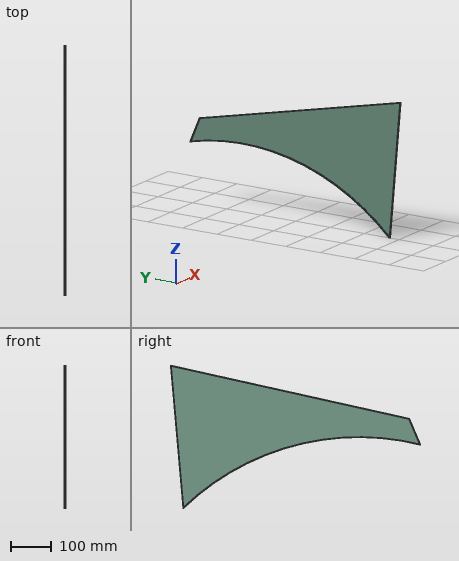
import cadquery as cq

thickness = 3.2
length = 609.5
height = 348.0

tip_bottom = (length, 155.0)
tip_top = (583.0, 218.0)
root_top = (0.0, height)
root_bottom = (30.5, 0.0)

arc_middle = (301.0, 152.5)

result = (
    cq.Workplane("YZ")
    .moveTo(*root_bottom)
    .lineTo(*root_top)
    .lineTo(*tip_top)
    .lineTo(*tip_bottom)
    .threePointArc(arc_middle, root_bottom)
    .close()
    .extrude(thickness)
    .translate((-thickness / 2, -length / 2, -height / 2))
)